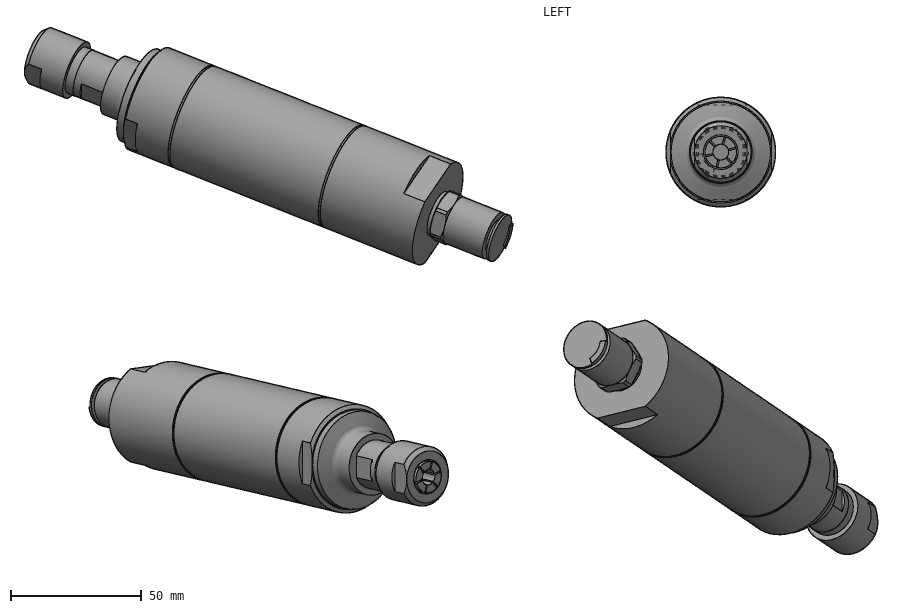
import cadquery as cq
import math


nut_face_x = 0.6
nut_chamfer_end_x = 2.5
nut_flat_end_x = 8.0
nut_end_x = 17.9
spindle_step_x = 21.3
spindle_flat_start_x = 24.3
flange_start_x = 34.4
flange_end_x = 41.0
cone_start_x = 43.4
cone_end_x = 45.0
body_face_x = 48.0
body_chamfer_end_x = 49.0
body_flat_end_x = 54.0
front_joint_x = 68.1
rear_joint_x = 132.8
rear_flat_start_x = 164.4
body_end_x = 173.4
hex_start_x = 175.0
hex_end_x = 180.6
sleeve_end_x = 197.5
release_ring_start_x = 199.3
release_ring_end_x = 200.3
overall_length = 201.0

collet_diameter = 12.0
collet_hole_diameter = 6.0
nut_bore_diameter = 13.3
nut_face_diameter = 20.0
nut_diameter = 23.1
spindle_front_diameter = 19.0
spindle_diameter = 18.9
flange_diameter = 24.0
cone_start_diameter = 28.1
cone_end_diameter = 38.0
front_ring_diameter = 38.0
body_face_diameter = 39.0
body_diameter = 42.0
joint_diameter = 41.5
fitting_neck_diameter = 18.0
sleeve_diameter = 19.0
release_neck_diameter = 13.3

nut_across_flats = 20.0
spindle_across_flats = 16.9
body_front_across_flats = 38.5
body_rear_across_flats = 36.2

hex_across_flats = 18.9
hex_corner_diameter = 21.0
hex_end_diameter = 18.9
hex_chamfer_length = 0.6

joint_width = 0.8
nut_recess_depth = 1.2
collet_hole_depth = 16.0
collet_slot_count = 6
collet_slot_width = 0.6
collet_slot_depth = 12.0
collet_slot_tilt = 45.0
cut_margin = 2.0
tab_start_angle = 290.0
tab_sweep = 65.0
tab_width = 2.5


def cylinder(start_x, end_x, diameter):
    """Cylinder on the X axis."""
    disc = cq.Workplane("YZ", origin=(start_x, 0, 0)).circle(diameter / 2)
    return disc.extrude(end_x - start_x)


def turned_core():
    """Everything that is round about the X axis, apart from the hexagon."""
    return (
        cq.Workplane("XY")
        .moveTo(nut_face_x, 0)
        .lineTo(nut_face_x, nut_face_diameter / 2)
        .lineTo(nut_chamfer_end_x, nut_diameter / 2)
        .lineTo(nut_end_x, nut_diameter / 2)
        .lineTo(nut_end_x, spindle_front_diameter / 2)
        .lineTo(spindle_step_x, spindle_front_diameter / 2)
        .lineTo(spindle_step_x, spindle_diameter / 2)
        .lineTo(flange_start_x, spindle_diameter / 2)
        .lineTo(flange_start_x, flange_diameter / 2)
        .lineTo(flange_end_x, flange_diameter / 2)
        .tangentArcPoint((cone_start_x, cone_start_diameter / 2), relative=False)
        .lineTo(cone_end_x, cone_end_diameter / 2)
        .lineTo(body_face_x, front_ring_diameter / 2)
        .lineTo(body_face_x, body_face_diameter / 2)
        .lineTo(body_chamfer_end_x, body_diameter / 2)
        .lineTo(body_end_x, body_diameter / 2)
        .lineTo(body_end_x, fitting_neck_diameter / 2)
        .lineTo(hex_end_x, fitting_neck_diameter / 2)
        .lineTo(hex_end_x, sleeve_diameter / 2)
        .lineTo(sleeve_end_x, sleeve_diameter / 2)
        .lineTo(sleeve_end_x, release_neck_diameter / 2)
        .lineTo(release_ring_start_x, release_neck_diameter / 2)
        .lineTo(release_ring_start_x, sleeve_diameter / 2)
        .lineTo(release_ring_end_x, sleeve_diameter / 2)
        .lineTo(release_ring_end_x, 0)
        .close()
        .revolve(360, (0, 0, 0), (1, 0, 0))
    )


def joint_groove(start_x):
    """Shallow ring marking the joint between two housing sections."""
    end_x = start_x + joint_width
    outer = cylinder(start_x, end_x, body_diameter + cut_margin)
    return outer.cut(cylinder(start_x, end_x, joint_diameter))


def flat_pair(start_x, end_x, across_flats, normal):
    """Cutter for two opposite wrench flats facing +/- normal ("Y" or "Z")."""
    length = end_x - start_x
    blank = cq.Workplane("XY").box(length, body_diameter + cut_margin, body_diameter + cut_margin)
    if normal == "Y":
        kept = cq.Workplane("XY").box(length, across_flats, body_diameter + 2 * cut_margin)
    else:
        kept = cq.Workplane("XY").box(length, body_diameter + 2 * cut_margin, across_flats)
    return blank.cut(kept).translate(((start_x + end_x) / 2, 0, 0))


def fitting_hexagon():
    """Hexagon with rounded corners and chamfered ends, flats facing +/-Z."""
    across_corners = hex_across_flats / math.cos(math.radians(30))
    prism = (
        cq.Workplane("YZ", origin=(hex_start_x, 0, 0))
        .polygon(6, across_corners)
        .extrude(hex_end_x - hex_start_x)
    )
    envelope = (
        cq.Workplane("XY")
        .moveTo(hex_start_x, 0)
        .lineTo(hex_start_x, hex_end_diameter / 2)
        .lineTo(hex_start_x + hex_chamfer_length, hex_corner_diameter / 2)
        .lineTo(hex_end_x - hex_chamfer_length, hex_corner_diameter / 2)
        .lineTo(hex_end_x, hex_end_diameter / 2)
        .lineTo(hex_end_x, 0)
        .close()
        .revolve(360, (0, 0, 0), (1, 0, 0))
    )
    return prism.intersect(envelope)


def collet():
    """Slotted collet standing slightly proud of the nut face."""
    jaws = cylinder(0, collet_hole_depth, collet_diameter)
    slot_reach = collet_diameter / 2
    for index in range(collet_slot_count):
        slot = (
            cq.Workplane("XY")
            .box(collet_slot_depth, slot_reach, collet_slot_width, centered=(False, False, True))
            .rotate((0, 0, 0), (1, 0, 0), collet_slot_tilt + index * 360 / collet_slot_count)
        )
        jaws = jaws.cut(slot)
    return jaws.cut(cylinder(0, collet_hole_depth, collet_hole_diameter))


def release_tab():
    """Raised arc on the end face of the release ring."""
    return (
        cq.Workplane("XY")
        .moveTo(release_ring_end_x, sleeve_diameter / 2)
        .lineTo(overall_length, sleeve_diameter / 2)
        .lineTo(overall_length, sleeve_diameter / 2 - tab_width)
        .lineTo(release_ring_end_x, sleeve_diameter / 2 - tab_width)
        .close()
        .revolve(tab_sweep, (0, 0, 0), (1, 0, 0))
        .rotate((0, 0, 0), (1, 0, 0), tab_start_angle)
    )


result = turned_core()

for joint_x in (front_joint_x, rear_joint_x):
    result = result.cut(joint_groove(joint_x))

result = result.cut(flat_pair(nut_face_x, nut_flat_end_x, nut_across_flats, "Y"))
result = result.cut(flat_pair(spindle_flat_start_x, flange_start_x, spindle_across_flats, "Y"))
result = result.cut(flat_pair(body_face_x, body_flat_end_x, body_front_across_flats, "Y"))
result = result.cut(flat_pair(rear_flat_start_x, body_end_x, body_rear_across_flats, "Z"))

result = result.union(fitting_hexagon())
result = result.union(release_tab())

result = result.cut(cylinder(nut_face_x, nut_face_x + nut_recess_depth, nut_bore_diameter))
result = result.cut(cylinder(nut_face_x, collet_hole_depth, collet_diameter))
result = result.union(collet())